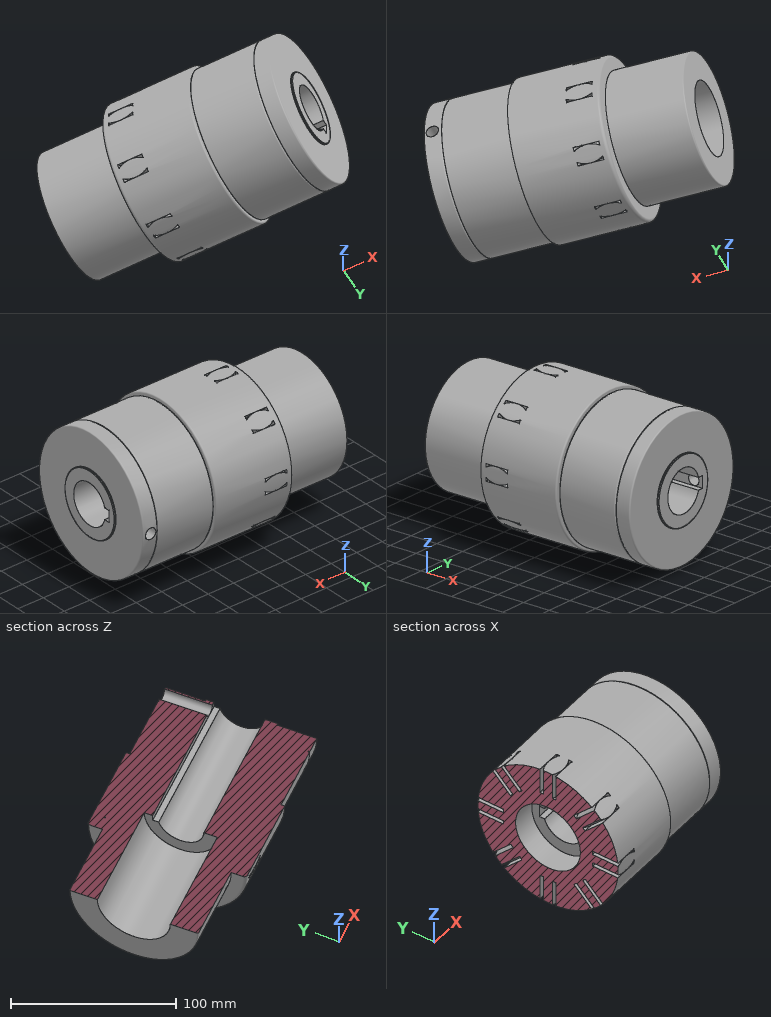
import cadquery as cq


flange_start = 51.0
joint_start = 55.8
joint_end = 72.5
sleeve_end = 111.0
shell_end = 155.0
ring_end = 166.3
length = 167.5

hub_radius = 42.5
flange_radius = 52.51
shell_radius = 50.0
boss_radius = 24.0

hub_round = 1.0
flange_round = 2.2
sleeve_round = 1.2
shell_round = 1.0
boss_chamfer = 0.5

wide_bore_radius = 24.0
narrow_bore_radius = 15.0
key_width = 8.4
key_reach = 18.5

screw_diameter = 8.0
screw_x = (shell_end + ring_end) / 2

tooth_count = 8
tooth_width = 11.5
tooth_end_width = 6.9
relief_floor_radius = 33.5


def disc(x_start, x_end, radius):
    """Solid cylinder on the X axis between two stations."""
    return cq.Workplane("YZ", origin=(x_start, 0, 0)).circle(radius).extrude(x_end - x_start)


def body():
    """Stacked outer cylinders with rounded rims; facing rims leave narrow grooves."""
    hub = disc(0, flange_start, hub_radius).faces("<X").edges().fillet(hub_round)
    sleeve = disc(flange_start, sleeve_end, flange_radius)
    sleeve = sleeve.faces("<X").edges().fillet(flange_round)
    sleeve = sleeve.faces(">X").edges().fillet(sleeve_round)
    shell = disc(sleeve_end, shell_end, shell_radius).edges("%CIRCLE").fillet(shell_round)
    ring = disc(shell_end, ring_end, shell_radius).edges("%CIRCLE").fillet(shell_round)
    boss = disc(ring_end, length, boss_radius).faces(">X").edges().chamfer(boss_chamfer)
    return hub.union(sleeve).union(shell).union(ring).union(boss)


def bores():
    """Wide bore up to the end of the joint, then the narrow keyed bore."""
    wide = disc(0, joint_end, wide_bore_radius)
    narrow = disc(joint_end, length, narrow_bore_radius)
    keyway = cq.Workplane("XY", origin=(joint_end, 0, 0)).box(
        length - joint_end, key_reach, key_width, centered=(False, False, True)
    )
    return wide.union(narrow).union(keyway)


def screw_hole():
    """Radial hole on the +Y side, from the ring surface into the keyway."""
    return (
        cq.Workplane("XZ", origin=(screw_x, 0, 0))
        .circle(screw_diameter / 2)
        .extrude(-flange_radius)
    )


def tooth_reliefs():
    """Pockets between the straight slot walls and the bulging flanks of one tooth, on the +Z side."""
    joint_middle = (joint_start + joint_end) / 2
    slot_depth = flange_radius - relief_floor_radius
    plane = cq.Workplane("XY", origin=(0, 0, relief_floor_radius))
    slot = plane.center(joint_middle, 0).rect(joint_end - joint_start, tooth_width).extrude(slot_depth)

    half_end = tooth_end_width / 2
    half_middle = tooth_width / 2
    tooth = (
        plane.moveTo(joint_start, -half_end)
        .threePointArc((joint_middle, -half_middle), (joint_end, -half_end))
        .lineTo(joint_end, half_end)
        .threePointArc((joint_middle, half_middle), (joint_start, half_end))
        .close()
        .extrude(slot_depth)
    )
    return slot.cut(tooth)


result = body().cut(bores()).cut(screw_hole())
for index in range(tooth_count):
    angle = index * 360 / tooth_count
    result = result.cut(tooth_reliefs().rotate((0, 0, 0), (1, 0, 0), angle))